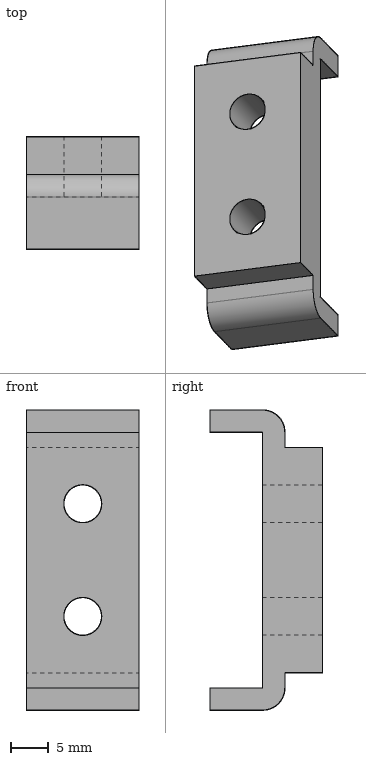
import cadquery as cq

width = 15.0
height = 40.0
channel_depth = 10.0
wall = 3.0
outer_radius = 3.0

block_height = 30.0
block_thickness = 5.0

hole_diameter = 5.0
hole_spacing = 15.0

total_depth = channel_depth + block_thickness
flange_tip_y = -total_depth / 2
web_back_y = flange_tip_y + channel_depth


def make_channel():
    """C-shaped channel with sharp inner corners and rounded outer back corners."""
    outer = (
        cq.Workplane("XY")
        .box(width, channel_depth, height)
        .edges("|X and >Y")
        .fillet(outer_radius)
        .translate((0, web_back_y - channel_depth / 2, 0))
    )
    opening_depth = channel_depth - wall
    opening = (
        cq.Workplane("XY")
        .box(width, opening_depth, height - 2 * wall)
        .translate((0, flange_tip_y + opening_depth / 2, 0))
    )
    return outer.cut(opening)


def make_block():
    """Rectangular block standing on the back face of the web."""
    return (
        cq.Workplane("XY")
        .box(width, block_thickness, block_height)
        .translate((0, web_back_y + block_thickness / 2, 0))
    )


def make_holes():
    """Two cylinders along Y that pass through the web and the block."""
    return (
        cq.Workplane("XZ")
        .pushPoints([(0, -hole_spacing / 2), (0, hole_spacing / 2)])
        .circle(hole_diameter / 2)
        .extrude(total_depth / 2, both=True)
    )


result = make_channel().union(make_block()).cut(make_holes())